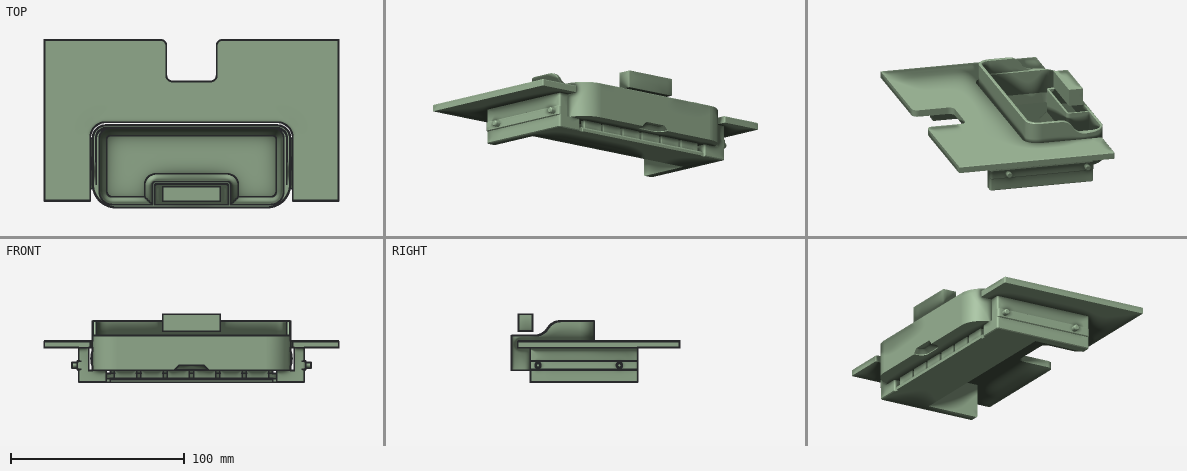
import cadquery as cq
import math

EDGE_BREAK = 0.5
RIM_BREAK = 0.3
CHAMFER_SLACK = 0.02

PLATE_LENGTH = 169.8
PLATE_FRONT = -93.0
PLATE_THICKNESS = 3.9
PLATE_CORNER_R = 0.8
NOTCH_WIDTH = 28.9
NOTCH_DEPTH = 24.0
NOTCH_R = 3.4
BAY_WIDTH = 116.5
BAY_REAR = -47.5
BAY_R = 8.8

BASE_WIDTH = 130.0
BASE_REAR = -NOTCH_DEPTH
BASE_FRONT = -86.0
BASE_HEIGHT = 20.0
BASE_CORNER_R = 1.2
ARM_THICKNESS = 6.0
LEDGE_TOP = 7.0
LEDGE_INNER_X = 49.0
LEDGE_REAR = -56.7
FLOOR_THICKNESS = 5.3
LEDGE_TIP_R = 1.0
BAND_HEIGHT = 5.6
BAND_PROUD = 0.7
BAND_CENTER_Z = 9.8
BAND_CORNER_R = 1.5

COMB_SLOT_COUNT = 7
COMB_PITCH = 15.2
COMB_SLOT_WIDTH = 2.4
COMB_DEPTH = 3.4
SILL_HEIGHT = 2.5
SIDE_SILL_HEIGHT = 2.0
SILL_CHAMFER = 1.0
REAR_BAR_DEPTH = 3.4

PIN_D = 3.4
PIN_LENGTH = 3.4
PIN_Y = (-34.6, -81.5)

TRAY_WIDTH = 114.1
TRAY_REAR = -49.0
TRAY_FRONT = -96.8
TRAY_BOTTOM = LEDGE_TOP
TRAY_TOP = 35.5
LOW_RIM_Z = 27.2
TRAY_REAR_R = 7.8
TRAY_FRONT_R = 14.0
TRAY_WALL = 1.9
UPPER_END_WALL = 2.2
LOWER_END_WALL = 3.9
CAVITY_REAR_R = 6.0
CAVITY_FRONT_R = 7.5
TRAY_FLOOR = 2.0
FLOOR_BEVEL = 4.4
SWEEP_REAR = -68.6
SWEEP_FRONT = -83.2

POCKET_WIDTH = 45.2
POCKET_REAR = -81.7
POCKET_WALL = 1.5
POCKET_FLOOR_Z = 17.3
POCKET_R = 2.0
POCKET_INNER_R = 1.0

SCOOP_WIDTH = 19.0
SCOOP_DEPTH = 6.8
SCOOP_HEIGHT = 2.9
SCOOP_R = 4.8
SCOOP_BEVEL = 2.4

DOME_D = 9.0
DOME_HEIGHT = 0.8
DOME_Y = -71.3
DOME_Z = 13.8

BLOCK_LENGTH = 33.3
BLOCK_DEPTH = 8.3
BLOCK_HEIGHT = 9.8
BLOCK_TOP = 39.4
BLOCK_FRONT = -92.9


def box(x_min, x_max, y_min, y_max, z_min, z_max):
    """Box between the given limits."""
    size = (x_max - x_min, y_max - y_min, z_max - z_min)
    return cq.Workplane("XY").box(*size, centered=False).translate((x_min, y_min, z_min))


def centered_box(width, y_min, y_max, z_min, z_max):
    """Box between the given limits, centred on X = 0."""
    return box(-width / 2, width / 2, y_min, y_max, z_min, z_max)


def make_plate():
    top = BASE_HEIGHT + PLATE_THICKNESS
    plate = centered_box(PLATE_LENGTH, PLATE_FRONT, 0, BASE_HEIGHT, top)
    plate = plate.edges("|Z and <Y").fillet(PLATE_CORNER_R)
    plate = plate.faces(">Z").edges("<Y").chamfer(EDGE_BREAK)

    notch = centered_box(NOTCH_WIDTH, -NOTCH_DEPTH, NOTCH_DEPTH, BASE_HEIGHT, top)
    bay = centered_box(BAY_WIDTH, 2 * PLATE_FRONT, BAY_REAR, BASE_HEIGHT, top)
    plate = plate.cut(notch.edges("|Z").fillet(NOTCH_R))
    plate = plate.cut(bay.edges("|Z").fillet(BAY_R))

    mouth = cq.selectors.BoxSelector((-NOTCH_WIDTH, -1.7, 0), (NOTCH_WIDTH, 1.7, top))
    plate = plate.edges("|Z").edges(mouth).fillet(NOTCH_R)
    bay_mouth = cq.selectors.BoxSelector(
        (-BAY_WIDTH / 2 - 1.7, PLATE_FRONT - 1.7, 0), (BAY_WIDTH / 2 + 1.7, PLATE_FRONT + 1.7, top)
    )
    return plate.edges("|Z").edges(bay_mouth).fillet(PLATE_CORNER_R)


def make_comb():
    """Slotted bar on a sill, closing the front of the base floor."""
    width = (COMB_SLOT_COUNT - 1) * COMB_PITCH + COMB_SLOT_WIDTH
    bar_front = BASE_FRONT + SILL_CHAMFER
    bar_rear = bar_front + COMB_DEPTH
    sill = centered_box(width, BASE_FRONT, bar_rear, 0, SILL_HEIGHT)
    sill = sill.edges(">Z and <Y").chamfer(SILL_CHAMFER - CHAMFER_SLACK)
    bar = centered_box(width, bar_front, bar_rear, SILL_HEIGHT, LEDGE_TOP)
    for index in range(COMB_SLOT_COUNT):
        x = (index - (COMB_SLOT_COUNT - 1) / 2) * COMB_PITCH
        slot = centered_box(COMB_SLOT_WIDTH, bar_front, bar_rear, SILL_HEIGHT, LEDGE_TOP)
        bar = bar.cut(slot.translate((x, 0, 0)))
    side_sill = centered_box(2 * LEDGE_INNER_X, bar_front, bar_rear, 0, SIDE_SILL_HEIGHT)
    floor = centered_box(2 * LEDGE_INNER_X, bar_rear, LEDGE_REAR, 0, FLOOR_THICKNESS)
    rear_bar = centered_box(width, LEDGE_REAR - REAR_BAR_DEPTH, LEDGE_REAR, 0, LEDGE_TOP)
    return floor.union(rear_bar).union(side_sill).union(sill).union(bar)


def make_base():
    """Two arms with ledges, joined by the floor and its comb."""
    base = centered_box(BASE_WIDTH, BASE_FRONT, BASE_REAR, 0, BASE_HEIGHT)
    base = base.edges("|Z").fillet(BASE_CORNER_R)
    base = base.faces("<Z").edges().chamfer(EDGE_BREAK)

    band_z = BAND_CENTER_Z - BAND_HEIGHT / 2
    band_width = BASE_WIDTH + 2 * BAND_PROUD
    band = centered_box(band_width, BASE_FRONT, BASE_REAR, band_z, band_z + BAND_HEIGHT)
    base = base.union(band.edges("|Z").fillet(BAND_CORNER_R).edges("#Z").chamfer(EDGE_BREAK))

    arm_gap = BASE_WIDTH - 2 * ARM_THICKNESS
    base = base.cut(centered_box(arm_gap, BASE_FRONT, BASE_REAR, LEDGE_TOP, BASE_HEIGHT))
    base = base.cut(centered_box(arm_gap, LEDGE_REAR, BASE_REAR, 0, LEDGE_TOP))
    floor_gap = 2 * LEDGE_INNER_X
    base = base.cut(centered_box(floor_gap, BASE_FRONT, LEDGE_REAR, 0, LEDGE_TOP))
    ledge_tips = cq.selectors.BoxSelector(
        (-LEDGE_INNER_X - 1.7, BASE_FRONT - 1.7, 0), (LEDGE_INNER_X + 1.7, BASE_FRONT + 1.7, LEDGE_TOP)
    )
    base = base.edges("|Z").edges(ledge_tips).fillet(LEDGE_TIP_R)
    return base.union(make_comb())


def make_pins():
    """Four pins standing on the side bands."""
    inner_x = BASE_WIDTH / 2 + BAND_PROUD
    pins = []
    for side in (-1, 1):
        for y in PIN_Y:
            start = cq.Vector(side * inner_x, y, BAND_CENTER_Z)
            pin = cq.Solid.makeCylinder(PIN_D / 2, PIN_LENGTH, start, cq.Vector(side, 0, 0))
            tip = ">X" if side > 0 else "<X"
            pins.append(cq.Workplane(pin).faces(tip).edges().chamfer(EDGE_BREAK).val())
    return pins


def rounded_block(width, y_min, y_max, z_min, z_max, rear_r, front_r):
    """Box with its own corner radius at the rear and at the front."""
    block = centered_box(width, y_min, y_max, z_min, z_max)
    block = block.edges("|Z and >Y").fillet(rear_r)
    return block.edges("|Z and <Y").fillet(front_r)


def make_rim_sweep():
    """Volume above the low front rim, bounded by two tangent arcs."""
    half_run = (SWEEP_REAR - SWEEP_FRONT) / 2
    half_drop = (TRAY_TOP - LOW_RIM_Z) / 2
    radius = (half_run**2 + half_drop**2) / (2 * half_drop)
    half_angle = math.atan2(half_drop, half_run)
    arc_y = radius * math.sin(half_angle)
    arc_z = radius * (1 - math.cos(half_angle))
    middle = (SWEEP_REAR - half_run, TRAY_TOP - half_drop)
    return (
        cq.Workplane("YZ")
        .moveTo(SWEEP_REAR, TRAY_TOP)
        .threePointArc((SWEEP_REAR - arc_y, TRAY_TOP - arc_z), middle)
        .threePointArc((SWEEP_FRONT + arc_y, LOW_RIM_Z + arc_z), (SWEEP_FRONT, LOW_RIM_Z))
        .lineTo(TRAY_FRONT, LOW_RIM_Z)
        .lineTo(TRAY_FRONT, TRAY_TOP)
        .close()
        .extrude(TRAY_WIDTH / 2, both=True)
    )


def make_pocket():
    """Walled pocket standing at the front of the tray, with a bevelled foot."""
    front = TRAY_FRONT + TRAY_WALL
    floor_z = TRAY_BOTTOM + TRAY_FLOOR
    past_front = 2 * front - POCKET_REAR
    walls = centered_box(POCKET_WIDTH, past_front, POCKET_REAR, TRAY_BOTTOM, LOW_RIM_Z)
    walls = walls.edges("|Z").fillet(POCKET_R)
    foot_width = POCKET_WIDTH + 2 * FLOOR_BEVEL
    foot_rear = POCKET_REAR + FLOOR_BEVEL
    foot = centered_box(foot_width, past_front, foot_rear, floor_z, floor_z + FLOOR_BEVEL)
    foot = foot.edges("|Z").fillet(POCKET_R + FLOOR_BEVEL)
    foot = foot.faces(">Z").edges().chamfer(FLOOR_BEVEL - CHAMFER_SLACK)
    inside = centered_box(
        POCKET_WIDTH - 2 * POCKET_WALL, front, POCKET_REAR - POCKET_WALL, POCKET_FLOOR_Z, LOW_RIM_Z
    )
    room = centered_box(TRAY_WIDTH, front, TRAY_REAR, TRAY_BOTTOM, LOW_RIM_Z)
    inside = inside.edges("|Z and >Y").fillet(POCKET_INNER_R)
    pocket = walls.union(foot).intersect(room).cut(inside)
    mouth_edge = cq.selectors.NearestToPointSelector((0, POCKET_REAR - POCKET_WALL, LOW_RIM_Z))
    return pocket.faces(">Z").edges(mouth_edge).chamfer(RIM_BREAK)


def make_scoop():
    """Bevelled finger hollow under the front edge of the tray."""
    scoop = centered_box(
        SCOOP_WIDTH, TRAY_FRONT - SCOOP_DEPTH, TRAY_FRONT + SCOOP_DEPTH,
        TRAY_BOTTOM, TRAY_BOTTOM + SCOOP_HEIGHT,
    )
    return scoop.edges("|Z").fillet(SCOOP_R).faces(">Z").edges().chamfer(SCOOP_BEVEL)


def make_dome(side):
    """Shallow spherical dome on one end wall of the tray."""
    radius = ((DOME_D / 2) ** 2 + DOME_HEIGHT**2) / (2 * DOME_HEIGHT)
    half_angle = math.asin(DOME_D / 2 / radius) / 2
    tip_x = DOME_HEIGHT
    root_x = -UPPER_END_WALL / 2
    middle = (side * (tip_x - radius * (1 - math.cos(half_angle))), radius * math.sin(half_angle))
    return (
        cq.Workplane("XY", origin=(side * TRAY_WIDTH / 2, DOME_Y, DOME_Z))
        .moveTo(side * root_x, 0)
        .lineTo(side * tip_x, 0)
        .threePointArc(middle, (0, DOME_D / 2))
        .lineTo(side * root_x, DOME_D / 2)
        .close()
        .revolve(360, (0, 0, 0), (1, 0, 0))
    )


def make_cavity(end_wall, floor_z, rim_break=0.0):
    """Inside of the tray from floor_z up, for the given thickness of the end walls."""
    return rounded_block(
        TRAY_WIDTH - 2 * end_wall + 2 * rim_break,
        TRAY_FRONT + TRAY_WALL - rim_break,
        TRAY_REAR - TRAY_WALL + rim_break,
        floor_z,
        TRAY_TOP,
        CAVITY_REAR_R + rim_break,
        CAVITY_FRONT_R + rim_break,
    )


def make_tray():
    tray = rounded_block(
        TRAY_WIDTH, TRAY_FRONT, TRAY_REAR, TRAY_BOTTOM, TRAY_TOP, TRAY_REAR_R, TRAY_FRONT_R
    )
    tray = tray.cut(make_rim_sweep())
    tray = tray.faces(">Z").edges(">Y").chamfer(RIM_BREAK)

    cavity = make_cavity(LOWER_END_WALL, TRAY_BOTTOM + TRAY_FLOOR)
    cavity = cavity.faces("<Z").edges().chamfer(FLOOR_BEVEL)
    upper_cavity = make_cavity(UPPER_END_WALL, LOW_RIM_Z)
    flare = make_cavity(UPPER_END_WALL, TRAY_TOP - RIM_BREAK, RIM_BREAK)
    flare = flare.faces("<Z").edges().chamfer(RIM_BREAK - CHAMFER_SLACK)
    tray = tray.cut(cavity).cut(upper_cavity).cut(flare)

    tray = tray.union(make_pocket()).cut(make_scoop())
    for side in (-1, 1):
        tray = tray.union(make_dome(side))
    return tray


def make_block():
    return centered_box(
        BLOCK_LENGTH, BLOCK_FRONT, BLOCK_FRONT + BLOCK_DEPTH, BLOCK_TOP - BLOCK_HEIGHT, BLOCK_TOP
    )


plate = make_plate()
base = make_base()
tray = make_tray()
block = make_block()
pins = make_pins()

result = cq.Compound.makeCompound([plate.val(), base.val(), tray.val(), block.val(), *pins])